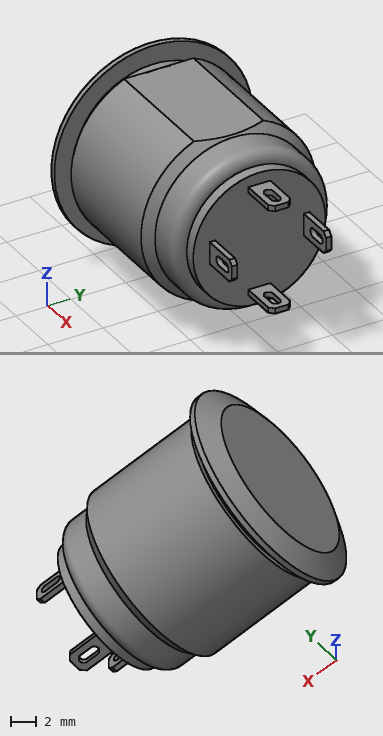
import cadquery as cq

front_x = -1.5
flange_rim_x = -0.5
mounting_x = 0.0
neck_end_x = 0.8
taper_end_x = 12.5
rear_housing_end_x = 15.5
end_disc_end_x = 16.5
terminal_tip_x = 20.0

flange_diameter = 18.0
front_face_diameter = 14.0
neck_diameter = 14.6
body_diameter = 15.9
rear_housing_diameter = 14.3
end_disc_diameter = 12.0
rear_housing_fillet = 1.0

taper_length = (body_diameter - rear_housing_diameter) / 2
taper_start_x = taper_end_x - taper_length

flat_height = neck_diameter / 2

terminal_width = 2.0
terminal_thickness = 0.5
terminal_corner_chamfer = 0.4
terminal_root_x = rear_housing_end_x
vertical_pair_offset = 4.7
horizontal_pair_offset = 4.27
slot_length = 1.9
slot_width = 0.8
slot_center_x = 18.5


def make_body():
    """Solid of revolution about X: flange, neck, body, rear housing and end disc."""
    housing_radius = rear_housing_diameter / 2
    fillet_start_x = rear_housing_end_x - rear_housing_fillet
    fillet_end_radius = housing_radius - rear_housing_fillet
    profile = (
        cq.Workplane("XY")
        .moveTo(front_x, 0)
        .lineTo(front_x, front_face_diameter / 2)
        .lineTo(flange_rim_x, flange_diameter / 2)
        .lineTo(mounting_x, flange_diameter / 2)
        .lineTo(mounting_x, neck_diameter / 2)
        .lineTo(neck_end_x, neck_diameter / 2)
        .lineTo(neck_end_x, body_diameter / 2)
        .lineTo(taper_start_x, body_diameter / 2)
        .lineTo(taper_end_x, housing_radius)
        .lineTo(fillet_start_x, housing_radius)
        .radiusArc((rear_housing_end_x, fillet_end_radius), rear_housing_fillet)
        .lineTo(rear_housing_end_x, end_disc_diameter / 2)
        .lineTo(end_disc_end_x, end_disc_diameter / 2)
        .lineTo(end_disc_end_x, 0)
        .close()
    )
    return profile.revolve(360, (0, 0, 0), (1, 0, 0))


def cut_flat(body):
    """Trim the top of the body and taper to a plane, leaving the flange whole."""
    trim_depth = flange_diameter / 2 - flat_height
    trim = cq.Workplane("XY").box(
        taper_end_x - neck_end_x,
        flange_diameter,
        trim_depth,
        centered=(False, True, False),
    )
    return body.cut(trim.translate((neck_end_x, 0, flat_height)))


def make_terminal():
    """Slotted blade lying flat in the XY plane, centred on the X axis."""
    blade = (
        cq.Workplane("XY")
        .box(
            terminal_tip_x - terminal_root_x,
            terminal_width,
            terminal_thickness,
            centered=(False, True, True),
        )
        .translate((terminal_root_x, 0, 0))
        .edges("|Z and >X")
        .chamfer(terminal_corner_chamfer)
    )
    slot = (
        cq.Workplane("XY")
        .center(slot_center_x, 0)
        .slot2D(slot_length, slot_width)
        .extrude(terminal_thickness, both=True)
    )
    return blade.cut(slot)


result = cut_flat(make_body())

flat_terminal = make_terminal()
upright_terminal = flat_terminal.rotate((0, 0, 0), (1, 0, 0), 90)
for side in (-1, 1):
    result = result.union(flat_terminal.translate((0, 0, side * vertical_pair_offset)))
    result = result.union(upright_terminal.translate((0, side * horizontal_pair_offset, 0)))